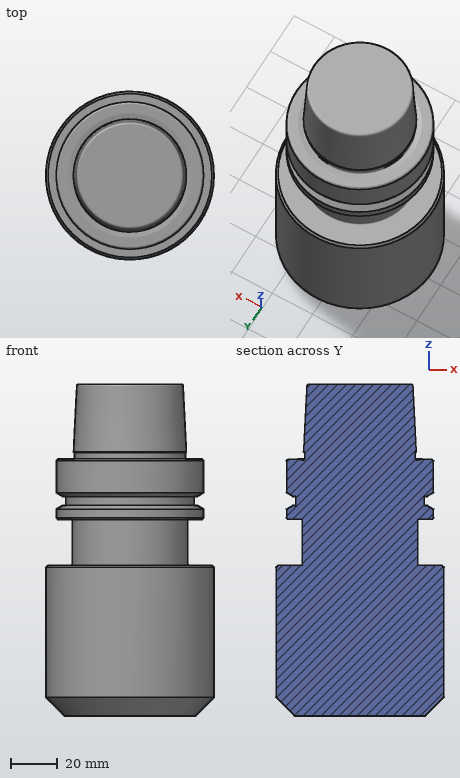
import cadquery as cq
import math

total_height = 141.9

shank_height = 32.0
shank_top_diameter = 45.45
shank_base_diameter = 48.35
shank_edge_fillet = 1.0

neck_height = 3.0
neck_diameter = 47.6
neck_foot_fillet = 0.5

recess_diameter = 53.0
recess_depth = 0.5

flange_diameter = 63.0
flange_height = 26.0
flange_chamfer = 0.75
flange_chamfer_fillet = 0.6
groove_floor_diameter = 55.0
groove_floor_width = 3.75
groove_mouth_width = 7.0
groove_flank_angle = 30.0
groove_center_depth = 17.95

shaft_diameter = 49.5
shaft_foot_fillet = 0.4
body_diameter = 72.0
body_height = 64.5
body_top_chamfer = 1.0
body_bottom_chamfer = 8.0

selection_margin = 0.1

flange_top = total_height - shank_height
flange_bottom = flange_top - flange_height
neck_top = flange_top + neck_height
groove_center = flange_top - groove_center_depth


def cylinder(diameter, bottom, top):
    """Cylinder about Z between two heights."""
    return cq.Workplane("XY").workplane(offset=bottom).circle(diameter / 2).extrude(top - bottom)


def revolve_about_z(points):
    """Solid of revolution about Z from (radius, height) points."""
    return cq.Workplane("XZ").polyline(points).close().revolve(360, (0, 0), (0, 1))


def fillet_ring(solid, diameter, height, fillet):
    """Fillet the circular edge about Z that has this diameter and height."""
    radius = diameter / 2
    corner_a = (-radius - selection_margin, -radius - selection_margin, height - selection_margin)
    corner_b = (radius + selection_margin, radius + selection_margin, height + selection_margin)
    ring = cq.selectors.BoxSelector(corner_a, corner_b, boundingbox=True)
    return solid.edges(ring).fillet(fillet)


def make_body_with_shaft():
    """Chamfered body carrying the shaft, with a small fillet at the foot of the shaft."""
    body = cylinder(body_diameter, 0, body_height)
    body = body.faces(">Z").edges().chamfer(body_top_chamfer)
    body = body.faces("<Z").edges().chamfer(body_bottom_chamfer)
    body = body.union(cylinder(shaft_diameter, body_height, flange_bottom))
    return fillet_ring(body, shaft_diameter, body_height, shaft_foot_fillet)


def make_groove():
    """Ring for the gripper groove: sloping flanks, a flat ledge inside each, and a cylindrical floor."""
    floor_radius = groove_floor_diameter / 2
    mouth_radius = flange_diameter / 2
    half_floor = groove_floor_width / 2
    half_mouth = groove_mouth_width / 2
    flank_run = (half_mouth - half_floor) / math.tan(math.radians(groove_flank_angle))
    ledge_radius = mouth_radius - flank_run
    return revolve_about_z([
        (floor_radius, groove_center - half_floor),
        (ledge_radius, groove_center - half_floor),
        (mouth_radius, groove_center - half_mouth),
        (mouth_radius, groove_center + half_mouth),
        (ledge_radius, groove_center + half_floor),
        (floor_radius, groove_center + half_floor),
    ])


def make_face_recess():
    """Ring that deepens from the recess rim toward the neck."""
    neck_radius = neck_diameter / 2
    return revolve_about_z([
        (neck_radius, flange_top),
        (recess_diameter / 2, flange_top),
        (neck_radius, flange_top - recess_depth),
    ])


def make_flange():
    """Flange with chamfered rims blended into its flat faces, the gripper groove and the face recess."""
    flange = cylinder(flange_diameter, flange_bottom, flange_top)
    flange = flange.faces(">Z or <Z").edges().chamfer(flange_chamfer)
    flange = flange.faces(">Z or <Z").edges().fillet(flange_chamfer_fillet)
    return flange.cut(make_groove()).cut(make_face_recess())


def make_flange_with_neck():
    """Flange and neck, with a fillet where the neck meets the recess."""
    collar = make_flange().union(cylinder(neck_diameter, flange_bottom, neck_top))
    return fillet_ring(collar, neck_diameter, flange_top - recess_depth, neck_foot_fillet)


def make_shank():
    """Taper with a 45 degree undercut down to the neck and a rounded top edge."""
    neck_radius = neck_diameter / 2
    base_radius = shank_base_diameter / 2
    undercut_bottom = neck_top - (base_radius - neck_radius)
    taper = revolve_about_z([
        (0, undercut_bottom),
        (neck_radius, undercut_bottom),
        (base_radius, neck_top),
        (shank_top_diameter / 2, total_height),
        (0, total_height),
    ])
    return taper.faces(">Z").edges().fillet(shank_edge_fillet)


result = make_body_with_shaft().union(make_flange_with_neck()).union(make_shank())